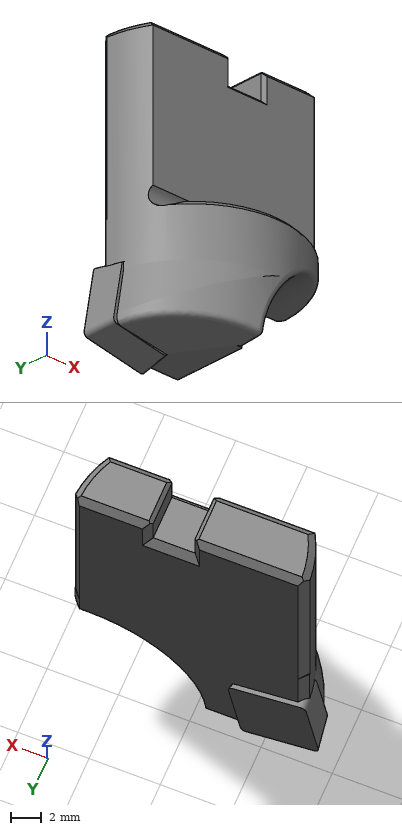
import cadquery as cq
import math

radius = 8.25
top_z = 23.33
bottom_z = 0.47
diagonal = math.sqrt(0.5)
margin = 2.33

tongue_depth = 4.0
shoulder_z = 9.87
shoulder_chamfer = 0.4
top_chamfer = 0.5
corner_chamfer_x = 0.58
corner_chamfer_y = 0.75
lower_corner_chamfer_y = 0.65
corner_low_z = 3.03
corner_step_z = shoulder_z - shoulder_chamfer
groove_radius = 0.93
groove_y = -4.65
groove_z = 10.38

slot_left = -0.23
slot_right = 2.7
slot_floor_z = 21.02
slot_top_chamfer = 0.28
slot_front_chamfer = 0.28
slot_back_chamfer = 0.54

flare_shift = 0.58
flare_top_z = 5.37
flare_low_z = 1.73
flare_axis_z = 5.18
clearance_start_x = -5.48
clearance_slope_x = 0.14
clearance_slope_y = 0.088

relief_radius = radius
relief_x = 7.02
relief_z = -0.19
edge_fillet = 0.42

insert_side = 5.55
insert_thickness = 2.43
insert_corner = 0.4
insert_back_y = 0.37
insert_x = -6.1
insert_z = 3.15
insert_tilt = 10.0
insert_relief = 7.0


def half_round(axis_x, low_z, high_z, r=radius):
    """Half cylinder on the -Y side of Y = 0."""
    return (
        cq.Workplane("XY").workplane(offset=low_z)
        .moveTo(axis_x - r, 0)
        .threePointArc((axis_x, -r), (axis_x + r, 0)).close()
        .extrude(high_z - low_z)
    )


def block(x0, x1, y0, y1, z0, z1):
    return cq.Workplane("XY").box(x1 - x0, y1 - y0, z1 - z0, centered=False).translate((x0, y0, z0))


def make_shank():
    shank = half_round(0, flare_top_z, top_z)
    right_half = block(0, radius, -radius, 0, bottom_z, flare_top_z)
    shank = shank.union(half_round(0, bottom_z, flare_top_z).intersect(right_half))

    shoulder = half_round(0, bottom_z, shoulder_z).faces(">Z").edges("%CIRCLE").chamfer(shoulder_chamfer)
    shoulder_space = block(-radius, radius, -radius, groove_y, shoulder_z - shoulder_chamfer, top_z)
    tongue_space = block(-radius, radius, -radius, -tongue_depth, groove_z, top_z)
    shank = shank.cut(shoulder_space.cut(shoulder)).cut(tongue_space)
    shank = shank.faces(">Z").edges().chamfer(top_chamfer)

    groove = (
        cq.Workplane("YZ").center(groove_y, groove_z)
        .circle(groove_radius).extrude(radius, both=True)
    )
    return shank.cut(groove)


def make_head():
    """Half-round shifted to the left, blended to the shank by a ruled transition."""
    left_x = -radius - flare_shift
    slope = (flare_axis_z - flare_low_z) / radius
    far_left_x = left_x - margin
    far_left_z = flare_low_z - slope * margin
    below_plane = (
        cq.Workplane("XZ")
        .polyline([
            (far_left_x, far_left_z), (-flare_shift, flare_axis_z),
            (-flare_shift, -margin), (far_left_x, -margin),
        ]).close().extrude(radius + margin)
    )
    lower = half_round(-flare_shift, bottom_z, top_z).intersect(below_plane)
    upper_wire = (
        cq.Workplane("XY").workplane(offset=flare_top_z)
        .moveTo(-radius, 0)
        .threePointArc((-radius * diagonal, -radius * diagonal), (0, -radius))
        .lineTo(0, 0).close().val()
    )
    lower_wire = lower.faces(">Z").wires().val()
    transition = cq.Workplane(obj=cq.Solid.makeLoft([upper_wire, lower_wire], True))
    strip = block(-flare_shift, 0, -radius, 0, bottom_z, flare_top_z)
    return lower.union(transition).union(strip)


def make_clearance():
    """Space under the sloping lower left face of the head."""
    left_x = -radius - flare_shift - margin
    right_x = radius + margin

    def outline(y):
        def face_z(x):
            return bottom_z - clearance_slope_x * (x - clearance_start_x) - clearance_slope_y * y

        points = [
            (left_x, y, -margin), (right_x, y, -margin),
            (right_x, y, face_z(right_x)), (left_x, y, face_z(left_x)),
        ]
        return cq.Wire.makePolygon([cq.Vector(*p) for p in points], close=True)

    return cq.Workplane(obj=cq.Solid.makeLoft([outline(margin), outline(-radius - margin)], True))


def make_relief():
    far_x = radius + margin
    left_x = relief_x - relief_radius
    reach = relief_radius * diagonal
    return (
        cq.Workplane("XZ").workplane(offset=-margin)
        .moveTo(left_x, relief_z)
        .threePointArc((relief_x - reach, relief_z + reach), (relief_x, relief_z + relief_radius))
        .lineTo(far_x, relief_z + relief_radius)
        .lineTo(far_x, relief_z).close()
        .extrude(radius + 2 * margin)
    )


def make_slot():
    """Slot with flared mouths at the top, front and back."""
    middle = (slot_left + slot_right) / 2
    half = (slot_right - slot_left) / 2
    slot = block(slot_left, slot_right, -tongue_depth, 0, slot_floor_z, top_z)
    top_flare = (
        cq.Workplane("XZ")
        .polyline([
            (slot_left, top_z - slot_top_chamfer), (slot_right, top_z - slot_top_chamfer),
            (slot_right + slot_top_chamfer, top_z), (slot_left - slot_top_chamfer, top_z),
        ]).close().extrude(tongue_depth)
    )
    slot = slot.union(top_flare)

    def mouth(y, outward, size):
        def section(at_y, grow):
            x0 = middle - half - grow
            x1 = middle + half + grow
            z0 = slot_floor_z - grow
            points = [(x0, at_y, z0), (x1, at_y, z0), (x1, at_y, top_z), (x0, at_y, top_z)]
            return cq.Wire.makePolygon([cq.Vector(*p) for p in points], close=True)

        return cq.Workplane(obj=cq.Solid.makeLoft([section(y, size), section(y - outward * size, 0)], True))

    slot = slot.union(mouth(-tongue_depth, -1, slot_front_chamfer))
    return slot.union(mouth(0, 1, slot_back_chamfer))


def make_corner_cut(side, low_z, high_z, chamfer_y):
    """Chamfer of one long back edge of the shank between two heights."""
    return (
        cq.Workplane("XY").workplane(offset=low_z)
        .polyline([
            (side * (radius - corner_chamfer_x), 0),
            (side * radius, -chamfer_y),
            (side * (radius + margin), -chamfer_y),
            (side * (radius + margin), 0),
        ]).close().extrude(high_z - low_z)
    )


def make_insert():
    """Rounded square plate, tapering toward -Y and tilted in the XZ plane."""
    return (
        cq.Workplane("XZ").rect(insert_side, insert_side).extrude(insert_thickness, taper=insert_relief)
        .edges("not(|X or |Z)").fillet(insert_corner)
        .rotate((0, 0, 0), (0, 1, 0), insert_tilt)
        .translate((insert_x, insert_back_y, insert_z))
    )


def make_holder(insert):
    holder = make_shank().union(make_head()).cut(make_relief()).cut(make_clearance())
    edge_points = [
        (relief_x - relief_radius / 2, -radius, relief_z + relief_radius),
        (-radius * diagonal, -radius * diagonal, bottom_z + edge_fillet),
        (relief_x - relief_radius, -radius, bottom_z),
    ]
    rounded = [holder.edges(cq.selectors.NearestToPointSelector(p)).val() for p in edge_points]
    holder = holder.newObject(rounded).fillet(edge_fillet)
    holder = holder.cut(make_slot())
    for side in (-1, 1):
        holder = holder.cut(make_corner_cut(side, corner_low_z, corner_step_z, lower_corner_chamfer_y))
        holder = holder.cut(make_corner_cut(side, corner_step_z, top_z, corner_chamfer_y))
    return holder.cut(insert)


insert = make_insert()
holder = make_holder(insert)
result = cq.Compound.makeCompound([holder.val(), insert.val()])